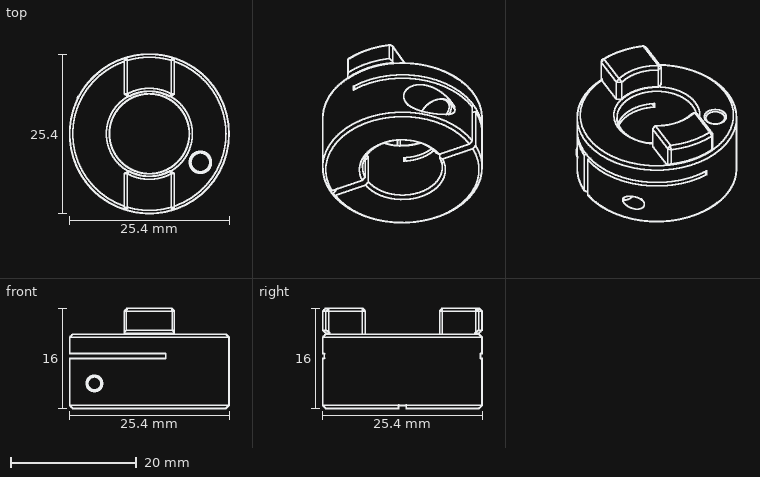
import cadquery as cq
import math

OUTER_RADIUS = 25.4 / 2
BORE_RADIUS = 12.7 / 2
TOTAL_HEIGHT = 16.0
HUB_HEIGHT = 11.85
EDGE_CHAMFER = 0.5

JAW_WIDTH = 8.0
JAW_INNER_RADIUS = 6.75
JAW_STEP = 0.15

SLOT_BOTTOM = 8.0
SLOT_HEIGHT = 0.75
SLOT_END_X = 2.57
SLIT_WIDTH = 1.2
SAW_RADIUS = 25.0
SAW_TOP_Z = 5.94
SAW_LOW_X = 13.0

SCREW_X = -8.74
SCREW_Z = 4.0
SCREW_DIAMETER = 2.45
SCREW_HEAD_DIAMETER = 5.5
SCREW_SEAT_Y = 3.0
SCREW_HEAD_TOP_Y = 6.0
SCREW_TIP_Y = -7.0
SCREW_HEAD_CHAMFER = 0.25
SCREW_TIP_CHAMFER = 0.18
COUNTERBORE_DIAMETER = 5.95
CLEARANCE_DIAMETER = 3.26
THREAD_DIAMETER = 2.58

PIN_DIAMETER = 3.0
PIN_CHAMFER = 0.25
PIN_DEPTH = 5.0
PIN_TIP_ANGLE = 118.0
PIN_X = 8.12
PIN_Y = -4.54


def make_hub():
    ring = cq.Workplane("XY").circle(OUTER_RADIUS).circle(BORE_RADIUS).extrude(HUB_HEIGHT)
    return ring.faces("<Z or >Z").chamfer(EDGE_CHAMFER)


def make_jaw_corner(arc_radius, inward):
    """Waste outside the bevel on the jaw's +X corner; inward is +1 on the inner arc, -1 on the outer.

    The bevel is an upright flat up to the top chamfer, then leans back to a point on the top face.
    """
    tip_x = JAW_WIDTH / 2 - EDGE_CHAMFER
    tip_radius = arc_radius + inward * EDGE_CHAMFER
    tip = cq.Vector(tip_x, math.sqrt(tip_radius**2 - tip_x**2), 0)
    side_end = cq.Vector(JAW_WIDTH / 2, tip.y, 0)
    arc_end = tip * (arc_radius / tip_radius)

    along = (side_end - arc_end).normalized()
    outward = cq.Vector(along.y, -along.x, 0) * inward
    lean = (side_end - tip).dot(outward)
    reach = 2 * EDGE_CHAMFER
    middle = (side_end + arc_end) * 0.5
    return (
        cq.Workplane(cq.Plane(middle, outward, outward.cross(cq.Vector(0, 0, 1))))
        .moveTo(0, HUB_HEIGHT)
        .lineTo(0, TOTAL_HEIGHT - EDGE_CHAMFER)
        .lineTo(-lean, TOTAL_HEIGHT)
        .lineTo(reach, TOTAL_HEIGHT)
        .lineTo(reach, HUB_HEIGHT)
        .close()
        .extrude(reach, both=True)
    )


def make_jaw():
    """Jaw on the +Y side, standing on the hub's top face."""
    side_x = JAW_WIDTH / 2
    inner_side_y = math.sqrt(JAW_INNER_RADIUS**2 - side_x**2)
    outer_side_y = math.sqrt(OUTER_RADIUS**2 - side_x**2)
    jaw = (
        cq.Workplane("XY")
        .workplane(offset=HUB_HEIGHT)
        .moveTo(-side_x, inner_side_y)
        .threePointArc((0, JAW_INNER_RADIUS), (side_x, inner_side_y))
        .lineTo(side_x, outer_side_y)
        .threePointArc((0, OUTER_RADIUS), (-side_x, outer_side_y))
        .close()
        .extrude(TOTAL_HEIGHT - HUB_HEIGHT)
        .faces(">Z")
        .chamfer(EDGE_CHAMFER)
    )

    foot_radius = OUTER_RADIUS - EDGE_CHAMFER
    clear_radius = OUTER_RADIUS + EDGE_CHAMFER
    step_z = HUB_HEIGHT + JAW_STEP
    undercut = (
        cq.Workplane("XZ")
        .moveTo(foot_radius, HUB_HEIGHT)
        .lineTo(foot_radius, step_z)
        .lineTo(clear_radius, step_z + clear_radius - foot_radius)
        .lineTo(clear_radius, HUB_HEIGHT)
        .close()
        .revolve(360, (0, 0), (0, 1))
    )
    jaw = jaw.cut(undercut)

    for arc_radius, inward in ((JAW_INNER_RADIUS, 1), (OUTER_RADIUS, -1)):
        corner = make_jaw_corner(arc_radius, inward)
        jaw = jaw.cut(corner).cut(corner.mirror("YZ"))
    return jaw


def make_relief_slot():
    """Horizontal slot that frees the clamp arms from the upper flange."""
    length = OUTER_RADIUS + SLOT_END_X
    return (
        cq.Workplane("XY")
        .box(length, 2 * OUTER_RADIUS, SLOT_HEIGHT, centered=(False, True, False))
        .translate((-OUTER_RADIUS, 0, SLOT_BOTTOM))
    )


def make_slit():
    """Vertical saw cut: right through the -X wall, and an arc rising inward under the +X wall."""
    return (
        cq.Workplane("XZ")
        .moveTo(-OUTER_RADIUS, 0)
        .lineTo(-OUTER_RADIUS, SLOT_BOTTOM)
        .lineTo(0, SLOT_BOTTOM)
        .lineTo(BORE_RADIUS, SAW_TOP_Z)
        .radiusArc((SAW_LOW_X, 0), SAW_RADIUS)
        .close()
        .extrude(SLIT_WIDTH / 2, both=True)
    )


def screw_axis_cylinder(diameter, start_y, end_y):
    return (
        cq.Workplane("XZ", origin=(SCREW_X, end_y, SCREW_Z))
        .circle(diameter / 2)
        .extrude(end_y - start_y)
    )


def make_screw_hole():
    counterbore = screw_axis_cylinder(COUNTERBORE_DIAMETER, SCREW_SEAT_Y, OUTER_RADIUS)
    clearance = screw_axis_cylinder(CLEARANCE_DIAMETER, 0, SCREW_SEAT_Y)
    thread = screw_axis_cylinder(THREAD_DIAMETER, -OUTER_RADIUS, 0)
    return counterbore.union(clearance).union(thread)


def make_screw():
    head = screw_axis_cylinder(SCREW_HEAD_DIAMETER, SCREW_SEAT_Y, SCREW_HEAD_TOP_Y)
    shank = screw_axis_cylinder(SCREW_DIAMETER, SCREW_TIP_Y, SCREW_SEAT_Y)
    head = head.faces(">Y").chamfer(SCREW_HEAD_CHAMFER)
    shank = shank.faces("<Y").chamfer(SCREW_TIP_CHAMFER)
    return head.union(shank)


def make_pin_hole():
    radius = PIN_DIAMETER / 2
    mouth_radius = radius + PIN_CHAMFER
    tip_depth = PIN_DEPTH + radius / math.tan(math.radians(PIN_TIP_ANGLE / 2))
    return (
        cq.Workplane("XZ")
        .moveTo(0, 0)
        .lineTo(mouth_radius, 0)
        .lineTo(radius, -PIN_CHAMFER)
        .lineTo(radius, -PIN_DEPTH)
        .lineTo(0, -tip_depth)
        .close()
        .revolve(360, (0, 0), (0, 1))
        .translate((PIN_X, PIN_Y, HUB_HEIGHT))
    )


hub = make_hub().cut(make_relief_slot()).cut(make_slit())
hub = hub.cut(make_screw_hole()).cut(make_pin_hole())
jaw = make_jaw()
result = hub.union(make_screw()).union(jaw).union(jaw.mirror("XZ"))